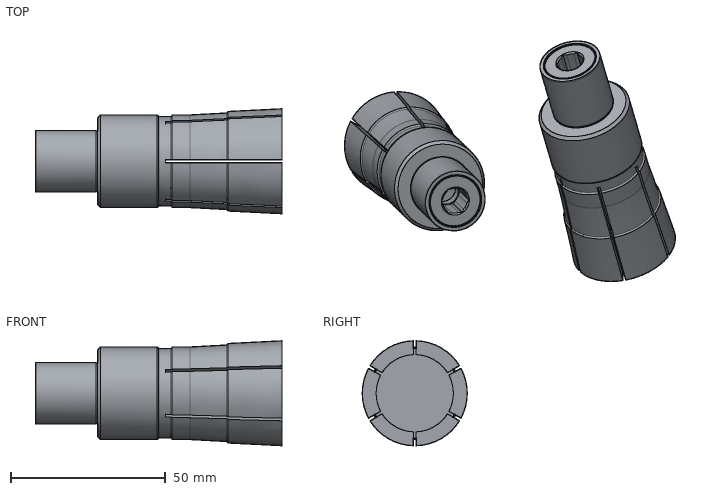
import cadquery as cq
import math

length = 79.8
shank_dia = 20.0
shank_length = 20.1
lead_in_length = 0.4
lead_in_height = 0.1
relief_dia = 19.6
relief_width = 0.5
body_dia = 30.0
body_front_chamfer = 0.95
body_end = 40.0
body_rear_chamfer_length = 0.5
body_rear_chamfer_height = 0.3

neck_dia = 29.0
shoulder_start = 44.2
taper_start = 49.95
step_start = 62.25
taper_end_dia = 31.3
lip_start_dia = 32.2
head_dia = 34.0
collet_bore_dia = 25.0
slot_count = 6
slot_width = 0.95
slot_start = 42.1

groove_mouth_dia = 17.55
groove_floor_dia = 17.0
groove_inner_dia = 16.6
socket_flats = 8.0
socket_relief_dia = 8.3
socket_mouth_dia = 9.3
socket_depth = 12.0
drill_dia = 8.0
drill_depth = 15.95
step_fillet = (lip_start_dia - taper_end_dia) / 2

fillet_mid = 1 - math.sqrt(0.5)


def x_cylinder(dia, x_start, x_end):
    return cq.Workplane("YZ", origin=(x_start, 0, 0)).circle(dia / 2).extrude(x_end - x_start)


def x_cone(start_dia, end_dia, depth):
    """Countersink that opens on the shank end face."""
    return (
        cq.Workplane("YZ").circle(start_dia / 2)
        .workplane(offset=depth).circle(end_dia / 2).loft()
    )


def turned_outside():
    shank_r = shank_dia / 2
    body_r = body_dia / 2
    neck_r = neck_dia / 2
    taper_end_r = taper_end_dia / 2
    relief_start = shank_length - relief_width
    shoulder_fillet = body_r - neck_r
    neck_fillet = body_r - neck_r - body_rear_chamfer_height
    neck_face = body_end - neck_fillet
    profile = (
        cq.Workplane("XY")
        .lineTo(0, shank_r - lead_in_height)
        .lineTo(lead_in_length, shank_r)
        .lineTo(relief_start, shank_r)
        .lineTo(relief_start, relief_dia / 2)
        .lineTo(shank_length, relief_dia / 2)
        .lineTo(shank_length, body_r - body_front_chamfer)
        .lineTo(shank_length + body_front_chamfer, body_r)
        .lineTo(neck_face - body_rear_chamfer_length, body_r)
        .lineTo(neck_face, body_r - body_rear_chamfer_height)
        .threePointArc(
            (neck_face + fillet_mid * neck_fillet, neck_r + fillet_mid * neck_fillet),
            (body_end, neck_r),
        )
        .lineTo(shoulder_start - shoulder_fillet, neck_r)
        .threePointArc(
            (shoulder_start - fillet_mid * shoulder_fillet, neck_r + fillet_mid * shoulder_fillet),
            (shoulder_start, body_r),
        )
        .lineTo(taper_start, body_r)
        .lineTo(step_start - step_fillet, taper_end_r)
        .threePointArc(
            (step_start - fillet_mid * step_fillet, taper_end_r + fillet_mid * step_fillet),
            (step_start, lip_start_dia / 2),
        )
        .lineTo(length, head_dia / 2)
        .lineTo(length, 0)
        .close()
    )
    return profile.revolve(360, (0, 0, 0), (1, 0, 0))


def ring_groove():
    """Shallow groove in the end face, with a sloped outer wall and a straight inner wall."""
    depth = (groove_mouth_dia - groove_floor_dia) / 2
    return x_cone(groove_mouth_dia, groove_floor_dia, depth).cut(x_cylinder(groove_inner_dia, 0, depth))


def drive_socket():
    """Hexagon socket with relieved flats, a chamfered mouth and a drilled hole behind it."""
    corner_dia = socket_flats / math.cos(math.pi / 6)
    mouth_depth = (socket_mouth_dia - socket_flats) / 2
    hexagon = cq.Workplane("YZ").polygon(6, corner_dia).extrude(socket_depth)
    relief = x_cylinder(socket_relief_dia, 0, socket_depth)
    drilled_hole = x_cylinder(drill_dia, 0, drill_depth)
    mouth = x_cone(socket_mouth_dia, socket_flats, mouth_depth)
    return hexagon.union(relief).union(drilled_hole).union(mouth)


def collet_slot(angle):
    """Radial slot from the axis outward, at an angle about X measured from +Z."""
    return (
        cq.Workplane("XY", origin=(slot_start, 0, 0))
        .box(length - slot_start, slot_width, head_dia, centered=(False, True, False))
        .rotate((0, 0, 0), (1, 0, 0), angle)
    )


result = turned_outside()
result = result.cut(ring_groove())
result = result.cut(drive_socket())
result = result.cut(x_cylinder(collet_bore_dia, slot_start, length))
for i in range(slot_count):
    result = result.cut(collet_slot(i * 360 / slot_count))